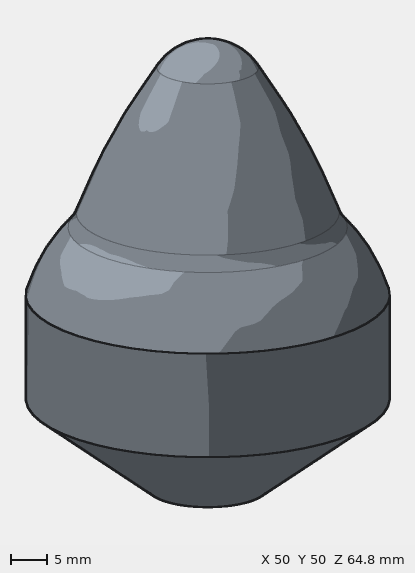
import cadquery as cq

total_height = 64.8
cone_top = 13.0
cylinder_height = 15.0
cylinder_top = cone_top + cylinder_height
shoulder_top = 37.8
neck_top = 39.95
dome_base = 61.0

body_radius = 50.0 / 2
base_radius = 8.2
shoulder_top_radius = 19.2
neck_top_radius = 18.1
dome_base_radius = 7.0

shoulder_middle = (22.75, 33.15)
neck_middle = (18.5, 38.85)
ogive_middle = (13.2, 50.7)

dome_height = total_height - dome_base
dome_radius = (dome_base_radius**2 + dome_height**2) / (2 * dome_height)
dome_middle_height = total_height - dome_height / 4
drop_from_tip = total_height - dome_middle_height
dome_middle_radius = (2 * dome_radius * drop_from_tip - drop_from_tip**2) ** 0.5

profile = (
    cq.Workplane("XZ")
    .lineTo(base_radius, 0)
    .lineTo(body_radius, cone_top)
    .lineTo(body_radius, cylinder_top)
    .threePointArc(shoulder_middle, (shoulder_top_radius, shoulder_top))
    .threePointArc(neck_middle, (neck_top_radius, neck_top))
    .threePointArc(ogive_middle, (dome_base_radius, dome_base))
    .threePointArc((dome_middle_radius, dome_middle_height), (0, total_height))
    .close()
)

result = profile.revolve(360, (0, 0, 0), (0, 1, 0))